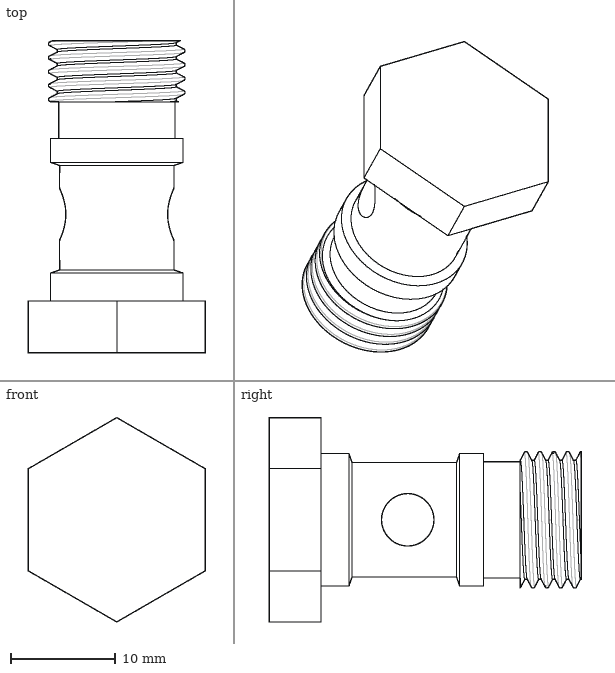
import cadquery as cq
import math

LENGTH = 30.0

HEAD_ACROSS_FLATS = 17.0
HEAD_HEIGHT = 5.0

COLLAR_DIAMETER = 12.75
SHANK_DIAMETER = 11.0
NECK_DIAMETER = 11.2
SHANK_START = 7.98
SHANK_END = 18.0
COLLAR_END = 20.6
COLLAR_CONE_LENGTH = 0.3

THREAD_LENGTH = 5.88
THREAD_START = LENGTH - THREAD_LENGTH
THREAD_CREST_DIAMETER = 13.15
THREAD_ROOT_DIAMETER = 11.45
FOUR_PITCH_SPAN = 5.35
PITCH = FOUR_PITCH_SPAN / 4
CREST_ARC_WIDTH = 0.33
CREST_ARC_HEIGHT = 0.1
BASE_GAP = 0.18
BASE_OVERLAP = 0.05
SPARE_TURNS = 3
CREST_POSITION = 28.35

CROSS_HOLE_DIAMETER = 5.0
CROSS_HOLE_POSITION = 13.32
BORE_DIAMETER = 6.9
BORE_BOTTOM = CROSS_HOLE_POSITION - CROSS_HOLE_DIAMETER / 2


def cylinder_along_y(diameter, start, end):
    plane = cq.Plane(origin=(0, start, 0), xDir=(1, 0, 0), normal=(0, 1, 0))
    return cq.Workplane(plane).circle(diameter / 2).extrude(end - start)


def make_head():
    across_corners = HEAD_ACROSS_FLATS / math.cos(math.pi / 6)
    plane = cq.Plane(origin=(0, 0, 0), xDir=(0, 0, 1), normal=(0, 1, 0))
    return cq.Workplane(plane).polygon(6, across_corners).extrude(HEAD_HEIGHT)


def make_body():
    collar_radius = COLLAR_DIAMETER / 2
    shank_radius = SHANK_DIAMETER / 2
    neck_radius = NECK_DIAMETER / 2
    root_radius = THREAD_ROOT_DIAMETER / 2
    half_section = [
        (0, HEAD_HEIGHT),
        (collar_radius, HEAD_HEIGHT),
        (collar_radius, SHANK_START - COLLAR_CONE_LENGTH),
        (shank_radius, SHANK_START),
        (shank_radius, SHANK_END),
        (collar_radius, SHANK_END + COLLAR_CONE_LENGTH),
        (collar_radius, COLLAR_END),
        (neck_radius, COLLAR_END),
        (neck_radius, THREAD_START),
        (root_radius, THREAD_START),
        (root_radius, LENGTH),
        (0, LENGTH),
    ]
    return cq.Workplane("XY").polyline(half_section).close().revolve(360, (0, 0, 0), (0, 1, 0))


def make_thread_ridge():
    base_radius = THREAD_ROOT_DIAMETER / 2 - BASE_OVERLAP
    crest_radius = THREAD_CREST_DIAMETER / 2
    arc_end_radius = crest_radius - CREST_ARC_HEIGHT
    half_base = (PITCH - BASE_GAP) / 2
    half_crest = CREST_ARC_WIDTH / 2
    turns = math.ceil(THREAD_LENGTH / PITCH) + SPARE_TURNS

    path = cq.Wire.makeHelix(PITCH, turns * PITCH, base_radius)
    profile = (
        cq.Workplane("XZ")
        .moveTo(base_radius, -half_base)
        .lineTo(arc_end_radius, -half_crest)
        .threePointArc((crest_radius, 0), (arc_end_radius, half_crest))
        .lineTo(base_radius, half_base)
        .close()
    )
    ridge = profile.sweep(cq.Workplane(path), isFrenet=True)

    pitches_below = math.ceil((CREST_POSITION - THREAD_START) / PITCH) + 1
    start = CREST_POSITION - pitches_below * PITCH
    ridge = ridge.rotate((0, 0, 0), (0, 0, 1), 180)
    ridge = ridge.rotate((0, 0, 0), (1, 0, 0), -90)
    ridge = ridge.translate((0, start, 0))

    envelope = cylinder_along_y(THREAD_CREST_DIAMETER + PITCH, THREAD_START, LENGTH)
    return ridge.intersect(envelope)


def make_bore():
    return cylinder_along_y(BORE_DIAMETER, BORE_BOTTOM, LENGTH)


def make_cross_hole():
    return (
        cq.Workplane("YZ")
        .center(CROSS_HOLE_POSITION, 0)
        .circle(CROSS_HOLE_DIAMETER / 2)
        .extrude(COLLAR_DIAMETER, both=True)
    )


bolt = make_head().union(make_body()).union(make_thread_ridge())
result = bolt.cut(make_bore()).cut(make_cross_hole())